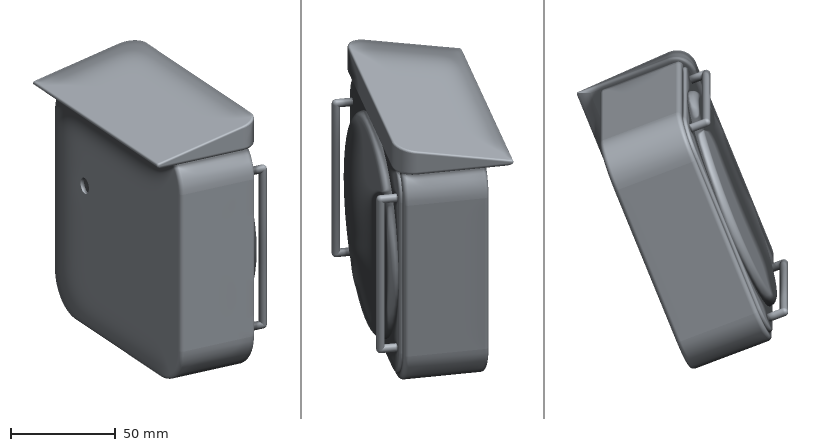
import cadquery as cq
import math

HOUSING_WIDTH = 121.0
HOUSING_DEPTH = 41.5
CORNER_RADIUS = 20.0
EDGE_FILLET = 2.1
CENTRE_Z = 60.5

HOLE_DIAMETER = 8.0
HOLE_DEPTH = 2.0
HOLE_X = -30.6
HOLE_Z = 73.1

PLATE_INSET = 3.5
PLATE_THICKNESS = 1.6
PLATE_FILLET = 1.5
PLATE_BACK_Y = HOUSING_DEPTH + PLATE_THICKNESS

DISK_DIAMETER = 109.6
DISK_FACE_DIAMETER = 101.0
DISK_THICKNESS = 4.0

ROD_DIAMETER = 4.0
HANDLE_REACH = 53.0
HANDLE_HALF_SPACING = 50.6
HANDLE_HALF_LENGTH = 40.2
ROD_CENTRE_Y = HANDLE_REACH - ROD_DIAMETER / 2

ROOF_WIDTH = 119.3
ROOF_OVERHANG = 12.0
ROOF_BACK_Y = 45.3
ROOF_BOTTOM_Z = 116.2
ROOF_TIP_RADIUS = 1.0
ROOF_TIP_HEIGHT = 2.2
ROOF_FLAT_FRONT_Y = -5.6
ROOF_TIP_Y = ROOF_TIP_RADIUS - ROOF_OVERHANG
ROOF_TIP_Z = ROOF_BOTTOM_Z + ROOF_TIP_HEIGHT
ROOF_SLOPE = 11.74
ROOF_CORNER_RADIUS = 10.1
ROOF_FRONT_CORNER_RADIUS = 1.0
ROOF_TOP_FILLET = 1.0
ROOF_BOTTOM_FILLET = 2.0


def rounded_square(width, radius, front_y, depth):
    """Rounded square block centred on the housing axis, running back from front_y."""
    return (
        cq.Workplane("XZ", origin=(0, front_y, CENTRE_Z))
        .rect(width, width)
        .extrude(-depth)
        .edges("|Y")
        .fillet(radius)
    )


def make_housing():
    block = rounded_square(HOUSING_WIDTH, CORNER_RADIUS, 0, HOUSING_DEPTH)
    block = block.faces("<Y or >Y").edges().fillet(EDGE_FILLET)
    hole = (
        cq.Workplane("XZ", origin=(HOLE_X, 0, HOLE_Z))
        .circle(HOLE_DIAMETER / 2)
        .extrude(-HOLE_DEPTH)
    )
    return block.cut(hole)


def make_back_plate():
    plate = rounded_square(
        HOUSING_WIDTH - 2 * PLATE_INSET,
        CORNER_RADIUS - PLATE_INSET,
        HOUSING_DEPTH,
        PLATE_THICKNESS,
    )
    return plate.faces(">Y").edges().fillet(PLATE_FILLET)


def make_disk():
    """Disk whose rim is rounded over its full thickness."""
    radius = DISK_DIAMETER / 2
    face_radius = DISK_FACE_DIAMETER / 2
    halfway = math.sin(math.radians(45))
    arc_middle = (
        face_radius + (radius - face_radius) * halfway,
        PLATE_BACK_Y + DISK_THICKNESS * halfway,
    )
    back_y = PLATE_BACK_Y + DISK_THICKNESS
    return (
        cq.Workplane("XY", origin=(0, 0, CENTRE_Z))
        .moveTo(0, PLATE_BACK_Y)
        .lineTo(radius, PLATE_BACK_Y)
        .threePointArc(arc_middle, (face_radius, back_y))
        .lineTo(0, back_y)
        .close()
        .revolve(360, (0, 0, 0), (0, 1, 0))
    )


def make_handle(x):
    """Upright rod on two legs, with a ball of the same diameter at each bend."""
    radius = ROD_DIAMETER / 2
    handle = (
        cq.Workplane("XY", origin=(x, ROD_CENTRE_Y, CENTRE_Z - HANDLE_HALF_LENGTH))
        .circle(radius)
        .extrude(2 * HANDLE_HALF_LENGTH)
    )
    for side in (-1, 1):
        bend = (x, ROD_CENTRE_Y, CENTRE_Z + side * HANDLE_HALF_LENGTH)
        leg = cq.Workplane("XZ", origin=bend).circle(radius).extrude(ROD_CENTRE_Y - PLATE_BACK_Y)
        ball = cq.Workplane("XY", origin=bend).sphere(radius)
        handle = handle.union(leg).union(ball)
    return handle


def slope_z(y):
    """Height of the sloped roof surface, which is tangent to the tip circle."""
    slope = math.radians(ROOF_SLOPE)
    return ROOF_TIP_Z + ROOF_TIP_RADIUS / math.cos(slope) + (y - ROOF_TIP_Y) * math.tan(slope)


def roof_profile():
    """Side outline of the roof: a wedge with a rounded tip that a wide arc joins to the flat bottom."""
    slope = math.radians(ROOF_SLOPE)
    slope_start_y = ROOF_TIP_Y - ROOF_TIP_RADIUS * math.sin(slope)
    slope_start = (slope_start_y, slope_z(slope_start_y))

    run = ROOF_FLAT_FRONT_Y - ROOF_TIP_Y
    arc_radius = (run**2 + ROOF_TIP_HEIGHT**2 - ROOF_TIP_RADIUS**2) / (
        2 * (ROOF_TIP_HEIGHT - ROOF_TIP_RADIUS)
    )
    arc_angle = math.asin(run / (arc_radius - ROOF_TIP_RADIUS))
    arc_centre_z = ROOF_BOTTOM_Z + arc_radius
    arc_middle = (
        ROOF_FLAT_FRONT_Y - arc_radius * math.sin(arc_angle / 2),
        arc_centre_z - arc_radius * math.cos(arc_angle / 2),
    )
    arc_end = (
        ROOF_TIP_Y - ROOF_TIP_RADIUS * math.sin(arc_angle),
        ROOF_TIP_Z - ROOF_TIP_RADIUS * math.cos(arc_angle),
    )
    return (
        cq.Workplane("YZ")
        .moveTo(*slope_start)
        .lineTo(ROOF_BACK_Y, slope_z(ROOF_BACK_Y))
        .lineTo(ROOF_BACK_Y, ROOF_BOTTOM_Z)
        .lineTo(ROOF_FLAT_FRONT_Y, ROOF_BOTTOM_Z)
        .threePointArc(arc_middle, arc_end)
        .threePointArc((-ROOF_OVERHANG, ROOF_TIP_Z), slope_start)
        .close()
    )


def make_roof(enclosed):
    """Wedge with rounded edges and tip, hollowed out by the bodies it encloses."""
    roof = (
        cq.Workplane("YZ")
        .moveTo(-ROOF_OVERHANG, ROOF_BOTTOM_Z)
        .lineTo(ROOF_BACK_Y, ROOF_BOTTOM_Z)
        .lineTo(ROOF_BACK_Y, slope_z(ROOF_BACK_Y))
        .lineTo(-ROOF_OVERHANG, slope_z(-ROOF_OVERHANG))
        .close()
        .extrude(ROOF_WIDTH / 2, both=True)
    )
    roof = roof.edges("|Z and >Y").fillet(ROOF_CORNER_RADIUS)
    roof = roof.edges("|Z and <Y").fillet(ROOF_FRONT_CORNER_RADIUS)
    roof = roof.faces("<Z").edges().fillet(ROOF_BOTTOM_FILLET)
    roof = roof.faces(">Z").edges().fillet(ROOF_TOP_FILLET)
    roof = roof.intersect(roof_profile().extrude(ROOF_WIDTH, both=True))
    for body in enclosed:
        roof = roof.cut(body)
    return roof


housing = make_housing()
back_plate = make_back_plate()
disk = make_disk()
handles = [make_handle(x) for x in (-HANDLE_HALF_SPACING, HANDLE_HALF_SPACING)]
roof = make_roof([housing, back_plate])

result = cq.Compound.makeCompound(
    [
        housing.val(),
        back_plate.val(),
        disk.val(),
        *[handle.val() for handle in handles],
        roof.val(),
    ]
)